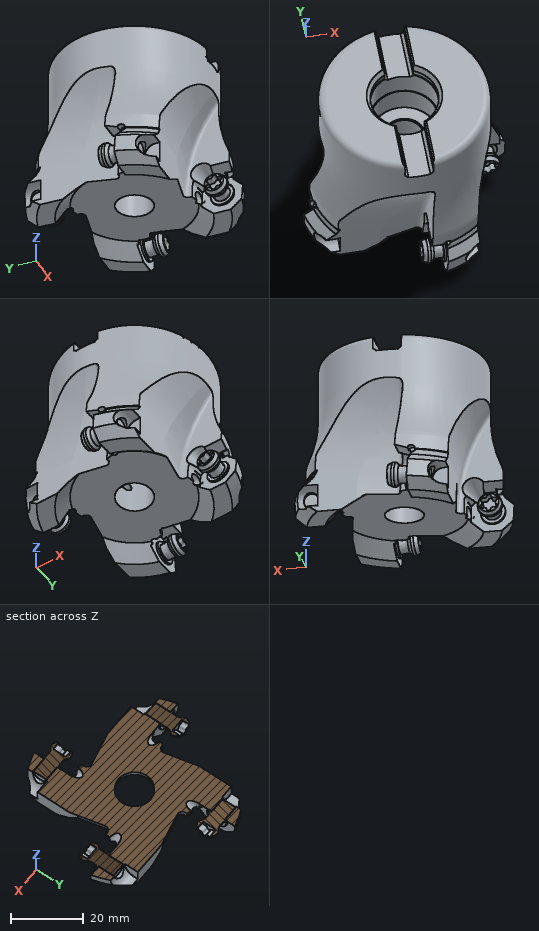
import cadquery as cq
import math

tooth_count = 4
tooth_step = 360 / tooth_count
total_height = 49.2
reach = 41.6

shank_radius = 24.0
shank_edge_fillet = 2.0
shank_end_z = 33.7
collar_radius = 27.55
collar_top_z = 17.75
collar_edge_bevel_height = 1.05
collar_edge_bevel_depth = 0.3
neck_mid_radius = 24.8
neck_mid_z = 25.55
groove_top_z = 12.4
groove_top_radius = 27.1
groove_end_z = 10.4
groove_end_radius = 28.0
tip_top_radius = 30.55
tip_bottom_radius = 30.3
tip_top_z = 7.85
tip_bottom_z = 2.9
face_outer_radius = 27.15
face_inner_radius = 22.1
hub_bottom_z = 4.2
hub_bottom_radius = face_inner_radius - hub_bottom_z

bore_radius = 9.5
bore_depth = 20.2
bore_chamfer_radial = 1.0
bore_chamfer_height = 1.4
bore_relief_radius = 9.7
bore_relief_start = 3.45
bore_relief_end = 12.0
bolt_hole_radius = 5.45
bolt_hole_chamfer = 0.3
key_half_width = 4.05
key_depth = 5.0
key_bottom_chamfer = 0.95
key_top_chamfer = 0.5

rake_angle = 4.5
rake_slope = math.tan(math.radians(rake_angle))
seat_x = 6.5
wall_x = 1.85
gullet_root_fillet = 1.4
tooth_back_y = -16.9
gullet_foot_z = 10.35
inner_foot_z = 6.85
gullet_top_z = 36.35
gullet_sweep_power = 2.2
gullet_steps = 4
ridge_low_x = -9.3
ridge_high_x = 0.4
ridge_foot_rise = -0.06
root_depth_low = 2.15

screw_y = -23.75
pocket_side = 6.3
pocket_top = 6.6
pocket_draft = 12
relief_radius = 3.1
relief_inward = 4.65
relief_above = 5.9
relief_stretch = 1.15
relief_tip_shift = 1.3
relief_tip_depth = 5.95
coolant_radius = 1.55
coolant_angle = 30
coolant_x = 5.35
coolant_z = 5.35
coolant_overrun = 0.9
coolant_start_radius = 2.4
corner_hole_radius = 1.0
corner_hole_end_y = -24.6
screw_head_x = 0.6
screw_head_z = 6.2
screw_length = 11.6
head_radius = 3.45
head_top_radius = 2.85
head_crown = 1.25
head_rim_end = 2.1
neck_radius = 2.7
neck_start = 3.05
neck_end = 3.85
shaft_radius = 2.45
stem_radius = 2.2
flange_radius = 3.5
flange_thickness = 0.6
torx_lobes = 6
torx_tip_radius = 2.5
torx_mean_radius = 2.2
torx_valley_radius = 1.85
torx_depth = 2.4
back_slot_radius = 3.15
back_slot_x = 15.55
back_slot_z = 5.0
back_slot_floor_y = -21.1


def around(shape):
    """Copies of a shape at every tooth."""
    return [shape.rotate((0, 0, 0), (0, 0, 1), i * tooth_step) for i in range(tooth_count)]


def turned_blank():
    bevel_z = collar_top_z - collar_edge_bevel_height
    outline = (
        cq.Workplane("XZ")
        .moveTo(0, hub_bottom_z)
        .lineTo(hub_bottom_radius, hub_bottom_z)
        .lineTo(face_inner_radius, 0)
        .lineTo(face_outer_radius, 0)
        .lineTo(tip_bottom_radius, tip_bottom_z)
        .lineTo(tip_top_radius, tip_top_z)
        .lineTo(groove_end_radius, groove_end_z)
        .lineTo(groove_top_radius, groove_top_z)
        .lineTo(collar_radius, groove_top_z)
        .lineTo(collar_radius, bevel_z)
        .lineTo(collar_radius - collar_edge_bevel_depth, collar_top_z)
        .threePointArc((neck_mid_radius, neck_mid_z), (shank_radius, shank_end_z))
        .lineTo(shank_radius, total_height)
        .lineTo(0, total_height)
        .close()
    )
    blank = outline.revolve(360, (0, 0, 0), (0, 1, 0))
    return blank.faces(">Z").edges().fillet(shank_edge_fillet)


def bore_cutter():
    floor_z = total_height - bore_depth
    relief_top_z = total_height - bore_relief_start
    relief_bottom_z = total_height - bore_relief_end
    outline = (
        cq.Workplane("XZ")
        .moveTo(0, 0)
        .lineTo(bolt_hole_radius, 0)
        .lineTo(bolt_hole_radius, floor_z - bolt_hole_chamfer)
        .lineTo(bolt_hole_radius + bolt_hole_chamfer, floor_z)
        .lineTo(bore_radius, floor_z)
        .lineTo(bore_radius, relief_bottom_z)
        .lineTo(bore_relief_radius, relief_bottom_z)
        .lineTo(bore_relief_radius, relief_top_z)
        .lineTo(bore_radius, relief_top_z)
        .lineTo(bore_radius, total_height - bore_chamfer_height)
        .lineTo(bore_radius + bore_chamfer_radial, total_height)
        .lineTo(0, total_height)
        .close()
    )
    return outline.revolve(360, (0, 0, 0), (0, 1, 0))


def key_slot_cutter():
    floor_z = total_height - key_depth
    right_side = [
        (key_half_width - key_bottom_chamfer, floor_z),
        (key_half_width, floor_z + key_bottom_chamfer),
        (key_half_width, total_height - key_top_chamfer),
        (key_half_width + key_top_chamfer, total_height),
    ]
    left_side = [(-x, z) for x, z in reversed(right_side)]
    return cq.Workplane("XZ").polyline(right_side + left_side).close().extrude(reach, both=True)


def gullet_rise(z):
    """Position along the sloping part of the gullet, 0 at its foot and 1 at its top."""
    return (z - gullet_foot_z) / (gullet_top_z - gullet_foot_z)


def gullet_floor_y(z):
    """The floor is upright at its foot and sweeps outward until it leaves the shank."""
    return tooth_back_y - (shank_radius + tooth_back_y) * max(0, gullet_rise(z)) ** gullet_sweep_power


def outer_gullet_cutter():
    """Space in front of the outer floor face, running from the wall past the tooth behind it."""
    step = (gullet_top_z - gullet_foot_z) / gullet_steps
    levels = [gullet_foot_z + i * step for i in range(gullet_steps + 2)]
    curve = [(gullet_floor_y(z), z) for z in levels]
    end_z = levels[-1]
    profile = (
        cq.Workplane("YZ", origin=(-reach, 0, 0))
        .moveTo(-reach, -gullet_foot_z)
        .lineTo(tooth_back_y, -gullet_foot_z)
        .lineTo(tooth_back_y, gullet_foot_z)
        .spline(curve[1:], tangents=[(0, 1), (-1, 1)], includeCurrent=True)
        .lineTo(-reach, end_z)
        .close()
    )
    cutter = profile.extrude(reach + ridge_high_x)
    pivot = cq.Vector(ridge_low_x, 0, gullet_foot_z)
    return cutter.rotate(pivot, pivot + cq.Vector(0, 0.6, 0), rake_angle)


def inner_gullet_section(z):
    """Level slice of the deeper gullet: floor, root fillet, wall."""
    rise = gullet_rise(z)
    ridge_x = ridge_low_x + (ridge_high_x - ridge_low_x) * max(ridge_foot_rise, rise)
    ridge_y = gullet_floor_y(z + rake_slope * (ridge_x - ridge_low_x))
    wall = wall_x + rake_slope * z
    root_x = wall - gullet_root_fillet
    root_y = ridge_y + root_depth_low * (1 - rise)
    overrun = 0.2
    start = (ridge_x - overrun * (root_x - ridge_x), ridge_y - overrun * (root_y - ridge_y))
    bend = gullet_root_fillet * (1 - math.sqrt(0.5))
    return (
        cq.Workplane("XY", origin=(0, 0, z))
        .moveTo(start[0], -reach)
        .lineTo(*start)
        .lineTo(root_x, root_y)
        .threePointArc((wall - bend, root_y - bend), (wall, root_y - gullet_root_fillet))
        .lineTo(wall, -reach)
        .close()
        .wires()
        .val()
    )


def inner_gullet_cutter():
    foot = inner_gullet_section(inner_foot_z)
    lower = cq.Workplane(cq.Solid.extrudeLinear(foot, [], cq.Vector(-rake_slope, 0, -1) * (inner_foot_z + 0.6)))
    step = (gullet_top_z - inner_foot_z) / gullet_steps
    levels = [inner_foot_z + i * step for i in range(gullet_steps + 1)]
    upper = cq.Solid.makeLoft([inner_gullet_section(z) for z in levels], False)
    return lower.union(cq.Workplane(upper))


def seat_plane():
    """Plane on the seat, centred on the screw; local x runs outward, local y upward, z off the seat."""
    travel = (seat_x + rake_slope * screw_head_z - screw_head_x) / (1 + rake_slope ** 2)
    origin = (screw_head_x + travel, screw_y, screw_head_z - rake_slope * travel)
    return cq.Plane(origin=origin, xDir=(0, -1, 0), normal=(-1, 0, rake_slope))


def seat_depth():
    """Distance from the gullet wall down to the seat."""
    return (seat_x - wall_x) * math.cos(math.radians(rake_angle))


def pocket_cutter():
    """Half octagon toward the hub, open outward and downward."""
    corner = pocket_side * math.tan(math.radians(22.5))
    outline = [
        (reach, pocket_top),
        (-corner, pocket_top),
        (-pocket_side, corner),
        (-pocket_side, -reach),
        (reach, -reach),
    ]
    height = 2 * seat_depth()
    return cq.Workplane(seat_plane()).polyline(outline).close().extrude(height, taper=-pocket_draft)


def relief_cutter():
    """Slanted cone that clears the upper inner corner of the pocket."""
    plane = seat_plane()
    base = plane.toWorldCoords((-relief_inward, relief_above, seat_depth()))
    tip_inward = relief_inward - relief_tip_shift
    tip_above = relief_above - relief_tip_shift
    tip = plane.toWorldCoords((-tip_inward, tip_above, -relief_tip_depth))
    axis = (tip - base) * relief_stretch
    start = tip - axis
    return cq.Workplane(cq.Solid.makeCone(relief_radius * relief_stretch, 0, axis.Length, start, axis))


def corner_hole_cutter():
    """Small radial hole along the outer upper corner of the seat."""
    origin = (seat_x + rake_slope * groove_top_z, corner_hole_end_y, groove_top_z)
    return cq.Workplane("XZ", origin=origin).circle(corner_hole_radius).extrude(reach)


def coolant_hole_cutter():
    """Hole that slopes down from the bolt hole to the inner wall of the pocket."""
    slope = math.radians(coolant_angle)
    inward = cq.Vector(0, math.cos(slope), math.sin(slope))
    mouth = cq.Vector(coolant_x, screw_y + pocket_side, coolant_z) - inward * coolant_overrun
    length = (-mouth.y - coolant_start_radius) / math.cos(slope)
    return cq.Workplane(cq.Solid.makeCylinder(coolant_radius, length, mouth, inward))


def back_slot_cutter():
    """Round-ended slot cut from outside, open toward the back of the tooth."""
    slot = cq.Workplane("XZ", origin=(back_slot_x, back_slot_floor_y, back_slot_z))
    round_end = slot.circle(back_slot_radius).extrude(reach)
    open_side = slot.center(reach / 2, 0).rect(reach, 2 * back_slot_radius).extrude(reach)
    return round_end.union(open_side)


def screw_hole_cutter():
    return cq.Workplane(seat_plane()).circle(stem_radius).extrude(-(back_slot_x - seat_x))


def make_body():
    body = turned_blank().cut(bore_cutter()).cut(key_slot_cutter())
    for make_cutter in (
        outer_gullet_cutter,
        inner_gullet_cutter,
        pocket_cutter,
        relief_cutter,
        corner_hole_cutter,
        coolant_hole_cutter,
        back_slot_cutter,
        screw_hole_cutter,
    ):
        for cutter in around(make_cutter()):
            body = body.cut(cutter)
    return body


def torx_recess():
    """Six-lobed socket made of alternating outward and inward arcs."""
    half_lobe = math.pi / torx_lobes / 2

    def polar(radius, quarter_steps):
        angle = quarter_steps * half_lobe
        return (radius * math.sin(angle), radius * math.cos(angle))

    star = cq.Workplane("XY").moveTo(*polar(torx_mean_radius, -1))
    for lobe in range(torx_lobes):
        tip = 4 * lobe
        star = star.threePointArc(polar(torx_tip_radius, tip), polar(torx_mean_radius, tip + 1))
        star = star.threePointArc(polar(torx_valley_radius, tip + 2), polar(torx_mean_radius, tip + 3))
    return star.close().extrude(torx_depth)


def make_screw():
    """Screw turned about its axis, with a flange that rests on the seat."""
    plane = cq.Plane(
        origin=(screw_head_x, screw_y, screw_head_z), xDir=(0, -1, 0), normal=(1, 0, -rake_slope)
    )
    seat = (seat_plane().origin - plane.origin).Length
    profile = [
        (head_top_radius, 0),
        (head_radius, head_crown),
        (head_radius, head_rim_end),
        (neck_radius, neck_start),
        (shaft_radius, neck_end),
        (shaft_radius, seat - flange_thickness),
        (flange_radius, seat - flange_thickness),
        (flange_radius, seat),
        (stem_radius, seat),
        (stem_radius, screw_length),
    ]
    half = cq.Workplane("XZ").polyline([(0, 0)] + profile + [(0, screw_length)]).close()
    screw = half.revolve(360, (0, 0, 0), (0, 1, 0)).cut(torx_recess())
    return cq.Workplane(screw.val().moved(cq.Location(plane)))


body = make_body()
screws = around(make_screw())
result = cq.Compound.makeCompound([body.val(), *[screw.val() for screw in screws]])